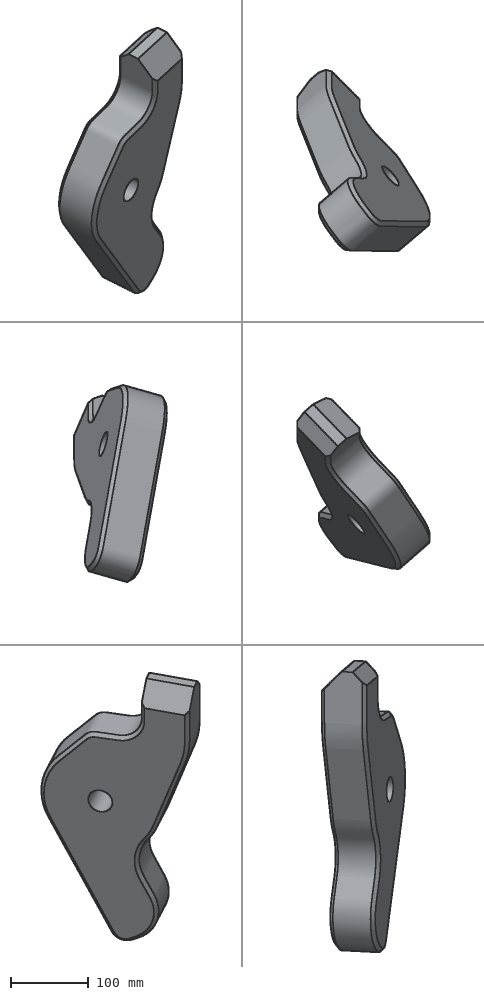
import cadquery as cq
import math


thickness = 60.0
edge_chamfer = 5.0
pivot_diameter = 32.0
hub_radius = 80.0

neck_outer_u = -117.36
neck_inner_u = -53.7
neck_top_v = 176.66
neck_top_slope = 2.4
neck_back_radius = 100.0
neck_root_radius = 30.0
ridge_flat_start_x = -12.5
ridge_flat_width = 15.0

shoulder_v = 100.0
shoulder_radius = 20.0
shoulder_normal = 43.5
hub_start = 45.5

back_normal = 200.0
tail_tilt = 28.0
tail_width = 80.0
tail_length = 200.0
tail_back_radius = 50.0
tail_front_radius = 20.0
notch_radius = 50.0


def polar(center, radius, angle):
    """Point on a circle at an angle in degrees."""
    turn = math.radians(angle)
    return (center[0] + radius * math.cos(turn), center[1] + radius * math.sin(turn))


def tail_point(across, along):
    """Point given across the tail and down its axis, from the pivot."""
    return polar(polar((0, 0), across, -tail_tilt), along, -90 - tail_tilt)


def hub_tangent_u(normal, v, offset):
    """u where the hub tangent facing `normal`, moved inward by `offset`, crosses height v."""
    turn = math.radians(normal)
    return (hub_radius - offset - v * math.sin(turn)) / math.cos(turn)


def hub_tangent_v(normal, u, offset):
    """v where the hub tangent facing `normal`, moved inward by `offset`, crosses position u."""
    turn = math.radians(normal)
    return (hub_radius - offset - u * math.cos(turn)) / math.sin(turn)


def to_yz(point):
    return (-point[0], point[1])


def add_line(path, end):
    return path.lineTo(*to_yz(end))


def add_arc(path, center, radius, start_angle, end_angle):
    """Straight run to the start of an arc, then the arc itself."""
    path = add_line(path, polar(center, radius, start_angle))
    return continue_arc(path, center, radius, start_angle, end_angle)


def continue_arc(path, center, radius, start_angle, end_angle):
    middle = polar(center, radius, (start_angle + end_angle) / 2)
    end = polar(center, radius, end_angle)
    return path.threePointArc(to_yz(middle), to_yz(end))


def neck_top_at(u):
    return neck_top_v - (neck_inner_u - u) * math.tan(math.radians(neck_top_slope))


def make_plate():
    pivot = (0, 0)
    tail_normal = -tail_tilt
    tail_back_normal = 180 - tail_tilt
    tail_end_normal = 270 - tail_tilt

    neck_root_center = (neck_inner_u + neck_root_radius, shoulder_v + neck_root_radius)

    shoulder_center_v = shoulder_v - shoulder_radius
    tangent_gap = hub_radius * (1 - math.cos(math.radians(hub_start - shoulder_normal)))
    shoulder_inset = shoulder_radius + tangent_gap
    shoulder_center_u = hub_tangent_u(shoulder_normal, shoulder_center_v, shoulder_inset)
    shoulder_center = (shoulder_center_u, shoulder_center_v)

    tail_front_center = tail_point(tail_width - tail_front_radius, tail_length - tail_front_radius)
    tail_back_center = tail_point(tail_back_radius, tail_length - tail_back_radius)

    notch_along = math.sqrt((hub_radius + notch_radius) ** 2 - notch_radius ** 2)
    notch_center = tail_point(-notch_radius, notch_along)
    hub_to_notch = math.degrees(math.atan2(notch_center[1], notch_center[0])) + 360

    neck_back_center_u = neck_outer_u + neck_back_radius
    neck_back_center_v = hub_tangent_v(back_normal, neck_back_center_u, neck_back_radius)
    neck_back_center = (neck_back_center_u, neck_back_center_v)

    neck_outer_top = (neck_outer_u, neck_top_at(neck_outer_u))
    neck_inner_top = (neck_inner_u, neck_top_v)

    path = cq.Workplane("YZ").workplane(offset=-thickness / 2).moveTo(*to_yz(neck_outer_top))
    path = add_line(path, neck_inner_top)
    path = add_arc(path, neck_root_center, neck_root_radius, 180, 270)
    path = add_arc(path, shoulder_center, shoulder_radius, 90, shoulder_normal)
    path = add_arc(path, pivot, hub_radius, hub_start, tail_normal)
    path = add_arc(path, tail_front_center, tail_front_radius, tail_normal, tail_end_normal - 360)
    path = add_arc(path, tail_back_center, tail_back_radius, tail_end_normal, tail_back_normal)
    path = add_arc(path, notch_center, notch_radius, tail_normal, hub_to_notch - 180)
    path = continue_arc(path, pivot, hub_radius, hub_to_notch, back_normal)
    path = add_arc(path, neck_back_center, neck_back_radius, back_normal, 180)
    return path.close().extrude(thickness)


def chamfer_sides(plate):
    """Chamfer the rim of both flat faces."""
    return plate.faces("<X or >X").edges().chamfer(edge_chamfer)


def ridge_flank(edge_x, side):
    """Wedge removed beside the ridge flat, from edge_x outward to the given side (-1 or +1)."""
    reach = thickness
    width = neck_inner_u - neck_outer_u
    slope = math.radians(neck_top_slope)
    run = 2 * width
    middle_u = (neck_inner_u + neck_outer_u) / 2
    along_top = cq.Vector(0, math.cos(slope), -math.sin(slope))
    middle = cq.Vector(edge_x, -middle_u, neck_top_at(middle_u))
    start = middle - along_top * (run / 2)
    plane = cq.Plane(origin=start.toTuple(), xDir=(1, 0, 0), normal=along_top.toTuple())
    corners = [(0, 0), (side * reach, reach), (side * reach, -reach), (0, -reach)]
    return cq.Workplane(plane).polyline(corners).close().extrude(run)


def cut_ridge(plate):
    plate = plate.cut(ridge_flank(ridge_flat_start_x, -1))
    return plate.cut(ridge_flank(ridge_flat_start_x + ridge_flat_width, 1))


def cut_pivot_hole(plate):
    hole = cq.Workplane("YZ").circle(pivot_diameter / 2).extrude(thickness, both=True)
    return plate.cut(hole)


result = cut_pivot_hole(cut_ridge(chamfer_sides(make_plate())))